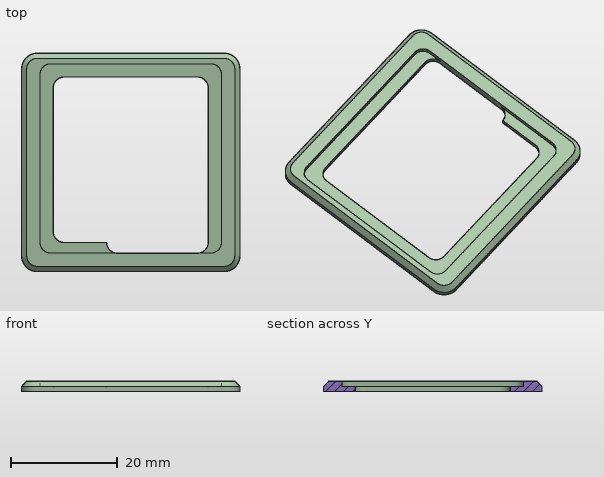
import cadquery as cq

frame_side = 41.0
frame_height = 2.0
frame_corner_radius = 3.0
frame_chamfer = 1.0

recess_border = 3.5
recess_rear_border = 2.0
recess_depth = 1.0

ledge_width = 2.5
front_ledge_width = 2.0
inner_corner_radius = 2.0

notch_left_from_frame = 16.0

half_side = frame_side / 2
recess_right = half_side - recess_border
recess_left = -recess_right
recess_front = -half_side + recess_border
recess_rear = half_side - recess_rear_border
recess_floor = frame_height - recess_depth

window_right = recess_right - ledge_width
window_left = -window_right
window_front = recess_front + front_ledge_width
window_rear = recess_rear - ledge_width
notch_left = -half_side + notch_left_from_frame


def rounded_block(left, right, front, rear, bottom, top, radius):
    """Upright block between the given limits, with rounded vertical edges."""
    return (
        cq.Workplane("XY")
        .box(right - left, rear - front, top - bottom, centered=False)
        .translate((left, front, bottom))
        .edges("|Z")
        .fillet(radius)
    )


frame = rounded_block(
    -half_side, half_side, -half_side, half_side, 0, frame_height, frame_corner_radius
)
frame = frame.faces(">Z").edges().chamfer(frame_chamfer)

recess = rounded_block(
    recess_left, recess_right, recess_front, recess_rear,
    recess_floor, frame_height, inner_corner_radius
)

window = rounded_block(
    window_left, window_right, window_front, window_rear, 0, frame_height, inner_corner_radius
)

notch = rounded_block(
    notch_left, window_right, recess_front, (window_front + window_rear) / 2,
    0, frame_height, inner_corner_radius
)

result = frame.cut(recess).cut(window).cut(notch)